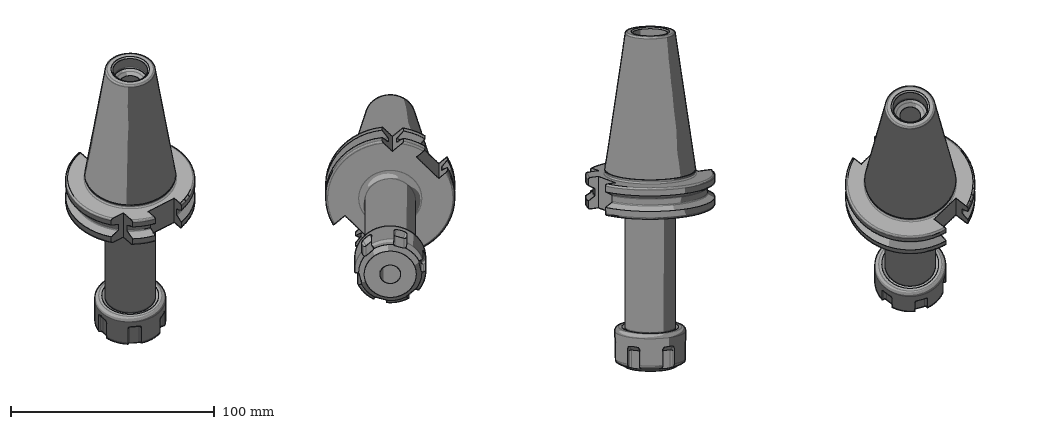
import cadquery as cq
import math


gauge_radius = 44.45 / 2
taper_slope = 7 / 48
taper_length = 68.4
taper_bottom = -1.2
taper_end_rounding = 1.0
relief_radius = 21.9
relief_upper_fillet = 0.4
relief_lower_fillet = 0.8

flange_radius = 63.55 / 2
flange_top = -3.2
flange_bottom = -19.1
flange_rounding = 1.0
groove_floor_radius = 56.25 / 2
groove_floor_top = -9.2
groove_floor_bottom = -12.8
groove_floor_fillet = 0.6
groove_flank_angle = 30.0

key_slot_width = 16.1
left_key_floor = 22.8
right_key_floor = 25.0
notch_x = 18.4
notch_y = -18.4

shank_radius = 12.5
shank_fillet = 3.0

nut_radius = 17.5
nut_bottom = -100.0
nut_top = nut_bottom + 19.5
nut_rounding = 2.0
nut_nose_length = 1.8
nut_end_radius = 12.8

nut_recess_radius = 14.0
nut_recess_depth = 0.5

slot_count = 6
first_slot_angle = 30
slot_width = 6.6
slot_floor_distance = 15.0
slot_fillet = 1.0
high_slot_top = -85.4
low_slot_top = -86.9

bore_entry_radius = 9.4
bore_entry_depth = 0.6
bore_radius = 8.5
bore_depth = 6.2
bore_shoulder_radius = 8.3
bore_shoulder_depth = 6.9
bore_step_radius = 6.9
bore_step_depth = 7.6
through_radius = 5.1
through_start_depth = 8.8

clearance = 5.0


def taper_radius(z):
    return gauge_radius - taper_slope * z


def revolve_outline(outline):
    return outline.close().revolve(360, (0, 0, 0), (0, 1, 0))


def make_taper():
    outline = (
        cq.Workplane("XZ")
        .moveTo(0, taper_length)
        .lineTo(taper_radius(taper_length), taper_length)
        .lineTo(taper_radius(taper_bottom), taper_bottom)
        .lineTo(relief_radius + relief_upper_fillet, taper_bottom)
        .radiusArc((relief_radius, taper_bottom - relief_upper_fillet), -relief_upper_fillet)
        .lineTo(relief_radius, flange_top + relief_lower_fillet)
        .radiusArc((relief_radius + relief_lower_fillet, flange_top), -relief_lower_fillet)
        .lineTo(0, flange_top)
    )
    return revolve_outline(outline).faces(">Z").edges().fillet(taper_end_rounding)


def cut_flange(flange):
    height = flange_top - flange_bottom
    middle = (flange_top + flange_bottom) / 2
    reach = flange_radius + clearance
    for side, floor in ((-1, left_key_floor), (1, right_key_floor)):
        length = reach - floor
        key_slot = cq.Workplane("XY").box(length, key_slot_width, height)
        flange = flange.cut(key_slot.translate((side * (floor + length / 2), 0, middle)))
    notch = cq.Workplane("XY").box(reach, reach, height)
    return flange.cut(notch.translate((notch_x + reach / 2, notch_y - reach / 2, middle)))


def make_flange():
    height = flange_top - flange_bottom
    disc = cq.Workplane("XY").workplane(offset=flange_bottom).circle(flange_radius).extrude(height)
    disc = disc.edges().fillet(flange_rounding)

    groove_reach = flange_radius + clearance
    flank_rise = (groove_reach - groove_floor_radius) * math.tan(math.radians(groove_flank_angle))
    groove = (
        cq.Workplane("XZ")
        .moveTo(groove_floor_radius, groove_floor_top)
        .lineTo(groove_reach, groove_floor_top + flank_rise)
        .lineTo(groove_reach, groove_floor_bottom - flank_rise)
        .lineTo(groove_floor_radius, groove_floor_bottom)
    )
    groove_ring = revolve_outline(groove)
    inner_edges = cq.selectors.RadiusNthSelector(0)
    groove_ring = groove_ring.edges(inner_edges).fillet(groove_floor_fillet)
    return cut_flange(disc.cut(groove_ring))


def make_shank():
    outline = (
        cq.Workplane("XZ")
        .moveTo(0, flange_bottom)
        .lineTo(shank_radius + shank_fillet, flange_bottom)
        .radiusArc((shank_radius, flange_bottom - shank_fillet), -shank_fillet)
        .lineTo(shank_radius, nut_top)
        .lineTo(0, nut_top)
    )
    return revolve_outline(outline)


def slot_cutter(top):
    """Wrench slot at +X: 45 degree upper end, open below, rounded along its floor."""
    outer = nut_radius + clearance
    bottom = nut_bottom - clearance
    surface_depth = nut_radius - slot_floor_distance
    cutter = (
        cq.Workplane("XZ")
        .moveTo(slot_floor_distance, bottom)
        .lineTo(slot_floor_distance, top - surface_depth)
        .lineTo(outer, top + clearance)
        .lineTo(outer, bottom)
        .close()
        .extrude(slot_width / 2, both=True)
    )
    end_direction = cq.Vector(1, 0, 1)
    end_edges = cutter.edges(cq.selectors.ParallelDirSelector(end_direction))
    floor_edges = cutter.faces("<X").edges("|Z")
    return cutter.newObject(floor_edges.vals() + end_edges.vals()).fillet(slot_fillet)


def make_nut_recess():
    outline = (
        cq.Workplane("XZ")
        .moveTo(shank_radius, nut_top)
        .lineTo(nut_recess_radius, nut_top)
        .lineTo(shank_radius, nut_top - nut_recess_depth)
    )
    return revolve_outline(outline)


def make_nut():
    body_bottom = nut_bottom + nut_nose_length
    height = nut_top - body_bottom
    body = cq.Workplane("XY").workplane(offset=body_bottom).circle(nut_radius).extrude(height)
    body = body.edges().fillet(nut_rounding)
    nose = (
        cq.Workplane("XZ")
        .moveTo(0, body_bottom)
        .lineTo(nut_radius - nut_rounding, body_bottom)
        .lineTo(nut_end_radius, nut_bottom)
        .lineTo(0, nut_bottom)
    )
    nut = body.union(revolve_outline(nose))
    for index in range(slot_count):
        angle = first_slot_angle + index * 360 / slot_count
        top = low_slot_top if angle < 180 else high_slot_top
        nut = nut.cut(slot_cutter(top).rotate((0, 0, 0), (0, 0, 1), angle))
    return nut.cut(make_nut_recess())


def make_bore():
    outline = (
        cq.Workplane("XZ")
        .moveTo(0, taper_length)
        .lineTo(bore_entry_radius, taper_length)
        .lineTo(bore_radius, taper_length - bore_entry_depth)
        .lineTo(bore_radius, taper_length - bore_depth)
        .lineTo(bore_shoulder_radius, taper_length - bore_shoulder_depth)
        .lineTo(bore_step_radius, taper_length - bore_step_depth)
        .lineTo(through_radius, taper_length - through_start_depth)
        .lineTo(through_radius, nut_bottom)
        .lineTo(0, nut_bottom)
    )
    return revolve_outline(outline)


result = make_taper().union(make_flange()).union(make_shank()).union(make_nut()).cut(make_bore())